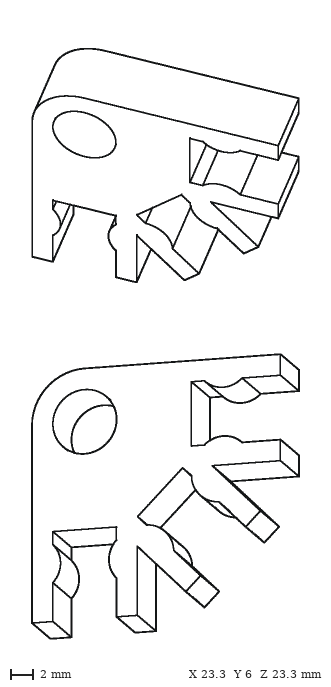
import cadquery as cq

overall_size = 23.33
thickness = 6.0
slot_width = 5.97
arm_width = 9.92
slot_floor_offset = 10.0
slot_bump_radius = 2.55
slot_bump_height = 0.72
diagonal_bump_radius = 2.61
diagonal_bump_height = 0.72

corner_radius = arm_width / 2
hole_diameter = slot_width
arm_reach = overall_size - corner_radius
hole_x = corner_radius
hole_z = overall_size - corner_radius
bump_offset = slot_floor_offset + slot_width / 2
slot_length = arm_reach - slot_floor_offset


def clip_arm(angle, bump_radius, bump_height):
    """Forked arm from the hole axis, turned downward from +X by angle."""
    arm = cq.Workplane("XZ").rect(arm_reach, arm_width).extrude(-thickness)
    arm = arm.translate((arm_reach / 2, 0, 0))
    slot = cq.Workplane("XZ").rect(slot_length, slot_width).extrude(-thickness)
    arm = arm.cut(slot.translate((slot_floor_offset + slot_length / 2, 0, 0)))

    bump_axis = slot_width / 2 - bump_height + bump_radius
    bumps = (
        cq.Workplane("XZ")
        .pushPoints([(bump_offset, bump_axis), (bump_offset, -bump_axis)])
        .circle(bump_radius)
        .extrude(-thickness)
    )
    envelope = cq.Workplane("XZ").rect(2 * arm_reach, arm_width).extrude(-thickness)
    arm = arm.union(bumps.intersect(envelope))
    return arm.rotate((0, 0, 0), (0, 1, 0), angle)


body = cq.Workplane("XZ").circle(corner_radius).extrude(-thickness)
for arm_angle in (0, 90):
    body = body.union(clip_arm(arm_angle, slot_bump_radius, slot_bump_height))
diagonal_arm = clip_arm(45, diagonal_bump_radius, diagonal_bump_height)
body = body.union(diagonal_arm)
hole = cq.Workplane("XZ").circle(hole_diameter / 2).extrude(-thickness)
result = body.cut(hole).translate((hole_x, 0, hole_z))